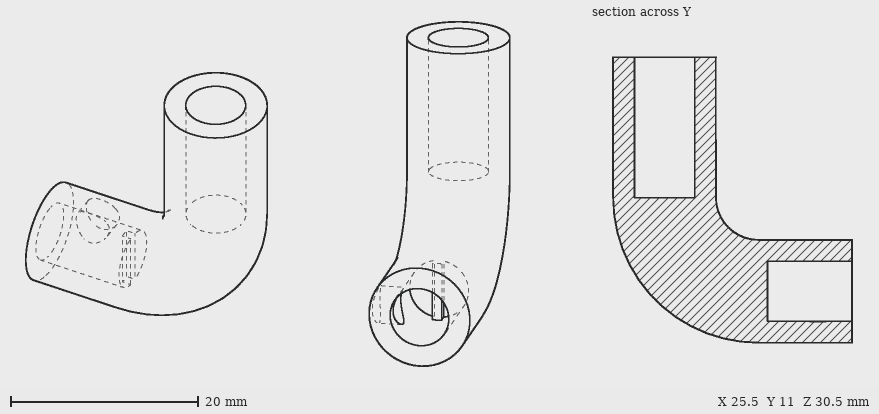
import cadquery as cq

overall_height = 30.5
outer_diameter = 11.0
bore_diameter = 6.4
bend_radius = 10.0
inlet_length = 10.0
pin_hole_diameter = 4.0
pin_hole_offset = 3.5
key_width = 1.0
key_height = key_width

outer_radius = outer_diameter / 2
outlet_x = inlet_length + bend_radius
top_z = overall_height - outer_radius
outlet_length = top_z - bend_radius


def inlet_cylinder(diameter):
    """Cylinder filling the inlet leg, from its open end to the elbow."""
    return cq.Workplane("YZ").circle(diameter / 2).extrude(inlet_length)


def outlet_cylinder(diameter):
    """Cylinder filling the outlet leg, from the elbow to the top."""
    return (
        cq.Workplane("XY", origin=(outlet_x, 0, bend_radius))
        .circle(diameter / 2)
        .extrude(outlet_length)
    )


def elbow():
    """Solid quarter-turn between the two legs, revolved about the bend centre."""
    return (
        cq.Workplane("YZ", origin=(inlet_length, 0, 0))
        .circle(outer_radius)
        .revolve(90, (0, bend_radius), (-1, bend_radius))
    )


def floor_key():
    """Narrow upright key across the floor of the inlet bore."""
    blank = (
        cq.Workplane("YZ", origin=(inlet_length, 0, 0))
        .rect(key_width, outer_diameter)
        .extrude(-key_height)
    )
    return blank.intersect(inlet_cylinder(bore_diameter))


def pin_hole():
    """Cross hole through the +Y wall only, reaching into the inlet bore."""
    return (
        cq.Workplane("XZ", origin=(pin_hole_offset, 0, 0))
        .circle(pin_hole_diameter / 2)
        .extrude(-outer_diameter)
    )


body = inlet_cylinder(outer_diameter).union(elbow()).union(outlet_cylinder(outer_diameter))

body = body.cut(inlet_cylinder(bore_diameter)).cut(outlet_cylinder(bore_diameter))

result = body.cut(pin_hole()).union(floor_key())